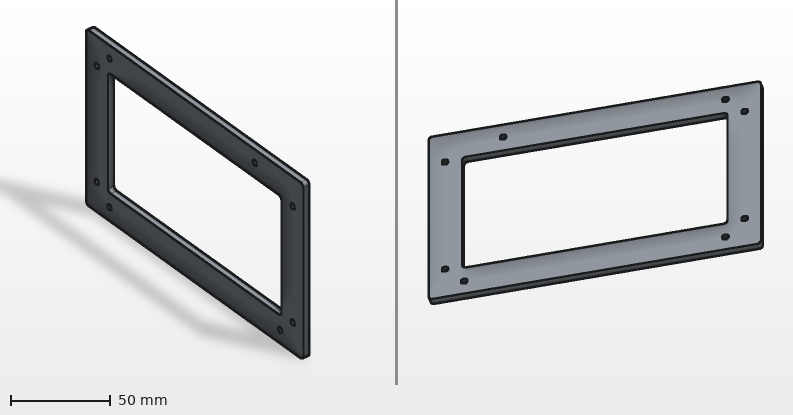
import cadquery as cq

length = 171.8
height = 108.7
thickness = 4.0
outer_corner_radius = 2.0

window_length = 137.1
window_height = 74.0
window_corner_radius = 2.0

hole_diameter = 3.3
side_hole_x = 77.5
side_hole_z = 35.9
edge_hole_x = 67.5
edge_hole_z = 46.0
offset_hole_x = 47.5

hole_centres = [(x, z) for x in (-side_hole_x, side_hole_x) for z in (-side_hole_z, side_hole_z)]
hole_centres += [
    (-edge_hole_x, -edge_hole_z),
    (edge_hole_x, -edge_hole_z),
    (-edge_hole_x, edge_hole_z),
    (offset_hole_x, edge_hole_z),
]


def rounded_block(block_length, block_height, corner_radius):
    """Block centred on the origin, with its four Y-direction edges rounded."""
    return cq.Workplane("XY").box(block_length, thickness, block_height).edges("|Y").fillet(corner_radius)


plate = rounded_block(length, height, outer_corner_radius)
window = rounded_block(window_length, window_height, window_corner_radius)
holes = (
    cq.Workplane("XZ")
    .pushPoints(hole_centres)
    .circle(hole_diameter / 2)
    .extrude(thickness, both=True)
)

result = plate.cut(window).cut(holes)